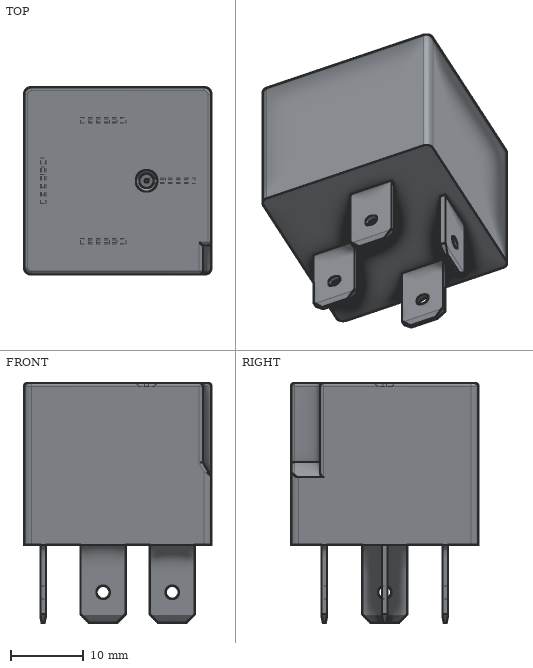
import cadquery as cq
import math

housing_side = 26.0
housing_height = 22.48
corner_radius = 1.0
rim_radius = 0.5

notch_depth = 1.2
notch_length = 4.0
notch_floor_angle = 60.0
notch_low_z = 9.4

dimple_x = 4.0
dimple_top_diameter = 3.0
dimple_floor_diameter = 2.0
dimple_depth = 0.5
pip_diameter = 0.5
pip_height = 0.4

blade_width = 6.3
blade_thickness = 0.8
blade_length = 10.82
tip_corner = 1.2
tip_bevel_height = 1.0
tip_thickness = 0.4
blade_hole_diameter = 1.8
blade_hole_drop = 6.6

cross_blade_x = -10.35
pair_blade_x = -2.03
pair_blade_y = 8.4
single_blade_x = 7.55

half_side = housing_side / 2
notch_wall_x = half_side - notch_depth
notch_end_y = -half_side + notch_length
notch_floor_drop = notch_depth * math.tan(math.radians(notch_floor_angle))
notch_wall_foot_z = notch_low_z + notch_floor_drop


def make_notch_cutter():
    """Prism that removes the +X -Y corner above a sloping floor."""
    beyond_x = half_side + notch_depth
    beyond_z = notch_low_z - notch_floor_drop
    return (
        cq.Workplane("XZ", origin=(0, notch_end_y, 0))
        .polyline([
            (notch_wall_x, notch_wall_foot_z),
            (beyond_x, beyond_z),
            (beyond_x, housing_height),
            (notch_wall_x, housing_height),
        ])
        .close()
        .extrude(notch_length)
    )


def nearest_edge(body, point):
    """Edge of the body whose centre lies closest to the point."""
    target = cq.Vector(*point)
    return min(body.edges().vals(), key=lambda edge: (edge.Center() - target).Length)


def round_rims(body):
    """Round the rim of the top face and the convex edges that the notch leaves."""
    wall_edge = nearest_edge(body, (notch_wall_x, -half_side, (notch_wall_foot_z + housing_height) / 2))
    floor_middle = (half_side - notch_depth / 2, -half_side, notch_low_z + notch_floor_drop / 2)
    floor_edge = nearest_edge(body, floor_middle)
    end_edge = nearest_edge(body, (half_side, notch_end_y, (notch_low_z + housing_height) / 2))
    top_edges = body.faces(">Z").edges().vals()
    return body.newObject([*top_edges, wall_edge, floor_edge, end_edge]).fillet(rim_radius)


def make_corner_cutter():
    """Sharp sliver outside the rounded vertical edge below the notch."""
    arc_centre = half_side - corner_radius
    arc_middle = arc_centre + corner_radius * math.sqrt(0.5)
    return (
        cq.Workplane("XY")
        .moveTo(arc_centre, -half_side)
        .lineTo(half_side, -half_side)
        .lineTo(half_side, -arc_centre)
        .threePointArc((arc_middle, -arc_middle), (arc_centre, -half_side))
        .close()
        .extrude(housing_height)
    )


def make_dimple_cutter():
    """Cone frustum sunk into the top face."""
    return (
        cq.Workplane("XY", origin=(dimple_x, 0, housing_height - dimple_depth))
        .circle(dimple_floor_diameter / 2)
        .workplane(offset=dimple_depth)
        .circle(dimple_top_diameter / 2)
        .loft()
    )


def make_pip():
    """Small round pip on the dimple floor."""
    return (
        cq.Workplane("XY", origin=(dimple_x, 0, housing_height - dimple_depth))
        .circle(pip_diameter / 2)
        .extrude(pip_height)
    )


def make_housing():
    """Block with rounded edges, a corner notch and a dimple in the top."""
    block = (
        cq.Workplane("XY")
        .rect(housing_side, housing_side)
        .extrude(housing_height)
        .edges("|Z and (<X or >Y)")
        .fillet(corner_radius)
    )
    notched = round_rims(block.cut(make_notch_cutter())).cut(make_corner_cutter())
    return notched.cut(make_dimple_cutter()).union(make_pip())


def make_tapered_plate(plane, width, tip_width, taper_height, thickness):
    """Plate hanging from Z = 0 that narrows evenly over its last stretch."""
    half_width = width / 2
    half_tip = tip_width / 2
    taper_z = -blade_length + taper_height
    return (
        cq.Workplane(plane)
        .polyline([
            (-half_width, 0),
            (half_width, 0),
            (half_width, taper_z),
            (half_tip, -blade_length),
            (-half_tip, -blade_length),
            (-half_width, taper_z),
        ])
        .close()
        .extrude(thickness / 2, both=True)
    )


def make_blade(x, y, turn):
    """Blade with its width along X, turned about Z and hung below the housing at (x, y)."""
    face_outline = make_tapered_plate(
        "XZ", blade_width, blade_width - 2 * tip_corner, tip_corner, blade_thickness
    )
    edge_outline = make_tapered_plate(
        "YZ", blade_thickness, tip_thickness, tip_bevel_height, blade_width
    )
    hole = (
        cq.Workplane("XZ", origin=(0, blade_thickness / 2, -blade_hole_drop))
        .circle(blade_hole_diameter / 2)
        .extrude(blade_thickness)
    )
    blade = face_outline.intersect(edge_outline).cut(hole)
    return blade.rotate((0, 0, 0), (0, 0, 1), turn).translate((x, y, 0))


housing = make_housing()

blade_places = [
    (cross_blade_x, 0, 90),
    (pair_blade_x, pair_blade_y, 0),
    (pair_blade_x, -pair_blade_y, 0),
    (single_blade_x, 0, 0),
]
blades = [make_blade(*place) for place in blade_places]

result = cq.Compound.makeCompound([housing.val(), *(blade.val() for blade in blades)])